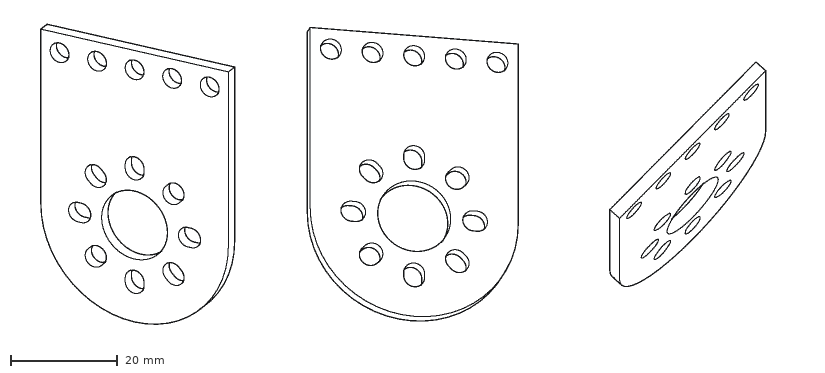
import cadquery as cq

width = 40.0
height = 56.0
thickness = 2.5
end_radius = width / 2
top_z = height - end_radius

bore_diameter = 14.0
hole_diameter = 4.0
row_count = 5
row_pitch = width / row_count
row_z = top_z - row_pitch / 2

slot_count = 8
slot_circle_radius = 11.7
slot_length = 4.7
slot_width = hole_diameter


def front_plane():
    """Sketch plane on the front face; its normal points toward -Y."""
    return cq.Workplane("XZ")


def make_plate():
    return (
        front_plane()
        .moveTo(-end_radius, 0)
        .lineTo(-end_radius, top_z)
        .lineTo(end_radius, top_z)
        .lineTo(end_radius, 0)
        .threePointArc((0, -end_radius), (-end_radius, 0))
        .close()
        .extrude(-thickness)
    )


def make_bore():
    return front_plane().circle(bore_diameter / 2).extrude(-thickness)


def make_hole_row():
    return (
        front_plane()
        .center(0, row_z)
        .rarray(row_pitch, 0.55, row_count, 1)
        .circle(hole_diameter / 2)
        .extrude(-thickness)
    )


def make_slots():
    return (
        front_plane()
        .polarArray(slot_circle_radius, 0, 360, slot_count)
        .slot2D(slot_length, slot_width)
        .extrude(-thickness)
    )


result = make_plate().cut(make_bore()).cut(make_hole_row()).cut(make_slots())